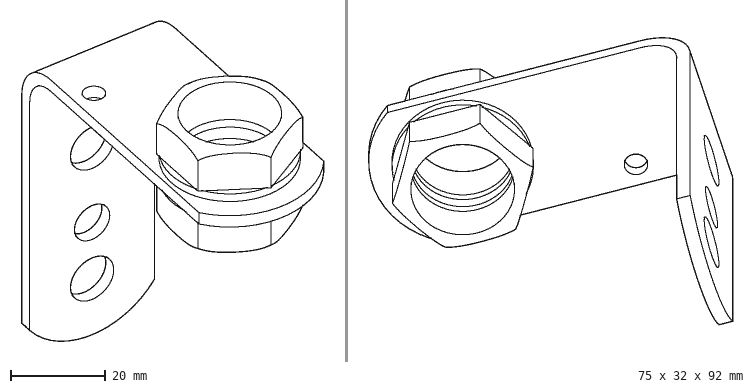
import cadquery as cq
import math

total_height = 92.0
bracket_length = 75.0
bracket_width = 32.0
plate_thickness = 3.0
bend_outer_radius = 11.0
bend_inner_radius = bend_outer_radius - plate_thickness
end_radius = 20.0

upright_holes = [(15.0, 11.0), (30.0, 9.0), (50.0, 11.0)]

side_hole_x = 20.0
side_hole_y = -11.0
side_hole_diameter = 5.0

bore_diameter = 22.0
washer_diameter = 30.0
washer_thickness = 2.0
nut_flats = 27.0
nut_height = 10.0
nut_rim_diameter = 23.5
nut_dome_radius = 4.8

leg_top = total_height - nut_height - washer_thickness
leg_bottom = leg_top - plate_thickness
stack_x = bracket_length - end_radius
nut_corners = nut_flats / math.cos(math.radians(30))

end_arc_depth = end_radius - math.sqrt(end_radius**2 - (bracket_width / 2) ** 2)


def make_bent_strip():
    """L-shaped strip with a rounded bend and square ends."""
    return (
        cq.Workplane("XZ")
        .moveTo(0, 0)
        .lineTo(0, leg_top - bend_outer_radius)
        .radiusArc((bend_outer_radius, leg_top), bend_outer_radius)
        .lineTo(bracket_length, leg_top)
        .lineTo(bracket_length, leg_bottom)
        .lineTo(bend_outer_radius, leg_bottom)
        .radiusArc((plate_thickness, leg_top - bend_outer_radius), -bend_inner_radius)
        .lineTo(plate_thickness, 0)
        .close()
        .extrude(bracket_width / 2, both=True)
    )


def leg_outline(plane, leg_length, depth):
    """Extruded leg outline whose far end, at leg_length along local X, is an arc."""
    half_width = bracket_width / 2
    return (
        cq.Workplane(plane)
        .moveTo(0, -half_width)
        .lineTo(leg_length - end_arc_depth, -half_width)
        .threePointArc((leg_length, 0), (leg_length - end_arc_depth, half_width))
        .lineTo(0, half_width)
        .close()
        .extrude(depth)
    )


def make_bracket():
    top_outline = leg_outline("XY", bracket_length, leg_top)
    downward = cq.Plane(origin=(0, 0, leg_top), xDir=(0, 0, -1), normal=(1, 0, 0))
    upright_outline = leg_outline(downward, leg_top, bracket_length)
    bracket = make_bent_strip().intersect(top_outline).intersect(upright_outline)

    for height, diameter in upright_holes:
        hole = cq.Workplane("YZ").center(0, height).circle(diameter / 2).extrude(plate_thickness)
        bracket = bracket.cut(hole)

    top_holes = [(side_hole_x, side_hole_y, side_hole_diameter), (stack_x, 0, bore_diameter)]
    for x, y, diameter in top_holes:
        leg_plane = cq.Workplane("XY", origin=(x, y, leg_bottom))
        bracket = bracket.cut(leg_plane.circle(diameter / 2).extrude(plate_thickness))
    return bracket


def make_washer(bottom):
    return (
        cq.Workplane("XY", origin=(stack_x, 0, bottom))
        .circle(washer_diameter / 2)
        .circle(bore_diameter / 2)
        .extrude(washer_thickness)
    )


def make_nut():
    """Hex nut standing on Z = 0, with its upper corners rounded off by a dome."""
    rim_radius = nut_rim_diameter / 2
    corner_radius = nut_corners / 2
    corner_drop = nut_dome_radius - math.sqrt(nut_dome_radius**2 - (corner_radius - rim_radius) ** 2)
    hexagon = cq.Workplane("XY").polygon(6, nut_corners).circle(bore_diameter / 2).extrude(nut_height)
    dome_envelope = (
        cq.Workplane("XZ")
        .moveTo(0, 0)
        .lineTo(corner_radius, 0)
        .lineTo(corner_radius, nut_height - corner_drop)
        .radiusArc((rim_radius, nut_height), -nut_dome_radius)
        .lineTo(0, nut_height)
        .close()
        .revolve(360, (0, 0, 0), (0, 1, 0))
    )
    return hexagon.intersect(dome_envelope)


def place_nut(base, turned_over):
    """Put a nut's flat base at height base, pointing up or turned over to point down."""
    nut = make_nut()
    if turned_over:
        nut = nut.rotate((0, 0, 0), (1, 0, 0), 180)
    return nut.translate((stack_x, 0, base))


bracket = make_bracket()
bodies = [bracket.val()]
for washer_bottom in (leg_top, leg_bottom - washer_thickness):
    bodies.append(make_washer(washer_bottom).val())
for nut_base, turned_over in (
    (leg_top + washer_thickness, False),
    (leg_bottom - washer_thickness, True),
):
    bodies.append(place_nut(nut_base, turned_over).val())

result = cq.Compound.makeCompound(bodies)